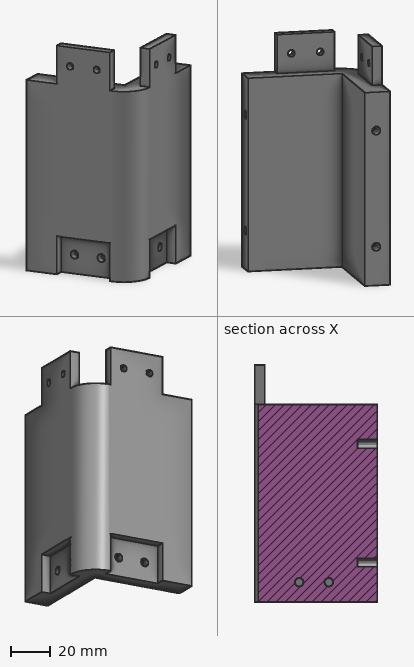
import cadquery as cq

total_height = 120
tab_height = 20.0
body_height = total_height - tab_height
arm_length = 62.0
wall = 13.1
corner_radius = 14.0

tab_width = 30
tab_thickness = 5.2
tab_start = 17.0
tab_hole_spacing = 15.0
tab_hole_diameter = 3.5

blind_hole_diameter = 4.2
wall_behind_pocket_hole = 3.0
pocket_hole_depth = wall - tab_thickness - wall_behind_pocket_hole
end_hole_depth = 10.0
end_hole_inset = 7.2
end_hole_heights = (20.0, 80.0)

tab_center = tab_start + tab_width / 2
hole_positions = (tab_center - tab_hole_spacing / 2, tab_center + tab_hole_spacing / 2)


def mirror_arm(shape):
    """Copy a feature of the X arm to the Y arm, across the corner's diagonal plane."""
    corner = (arm_length, 0, 0)
    flipped = shape.mirror("XZ", corner)
    return flipped.rotate(corner, (arm_length, 0, 1), -90)


def hole_along_y(x, z, diameter, start, depth):
    """Cylinder running toward +Y from the plane y = start."""
    return cq.Workplane("XZ", origin=(x, start, z)).circle(diameter / 2).extrude(-depth)


def make_body():
    """L-shaped wall with a rounded outer corner."""
    body = (
        cq.Workplane("XY")
        .polyline([
            (0, 0),
            (arm_length, 0),
            (arm_length, arm_length),
            (arm_length - wall, arm_length),
            (arm_length - wall, wall),
            (0, wall),
        ])
        .close()
        .extrude(body_height)
    )
    outer_corner = cq.selectors.NearestToPointSelector((arm_length, 0, body_height / 2))
    return body.edges(outer_corner).fillet(corner_radius)


def tab_block(bottom):
    """Plate-shaped block flush with the outer face of the X arm."""
    return cq.Workplane("XY").box(tab_width, tab_thickness, tab_height, centered=False).translate(
        (tab_start, 0, bottom)
    )


def make_tab():
    """Upright tab with two through holes."""
    tab = tab_block(body_height)
    hole_height = body_height + tab_height / 2
    for x in hole_positions:
        tab = tab.cut(hole_along_y(x, hole_height, tab_hole_diameter, 0, tab_thickness))
    return tab


def make_pocket():
    """Recess for the tab of the part below, with two blind holes in its floor."""
    pocket = tab_block(0)
    for x in hole_positions:
        pocket = pocket.union(
            hole_along_y(x, tab_height / 2, blind_hole_diameter, 0, tab_thickness + pocket_hole_depth)
        )
    return pocket


def make_end_hole(height):
    """Blind hole running along the X arm from its free end face."""
    return (
        cq.Workplane("YZ", origin=(0, end_hole_inset, height))
        .circle(blind_hole_diameter / 2)
        .extrude(end_hole_depth)
    )


result = make_body()

tab = make_tab()
result = result.union(tab).union(mirror_arm(tab))

cutters = [make_pocket()] + [make_end_hole(height) for height in end_hole_heights]
for cutter in cutters:
    result = result.cut(cutter).cut(mirror_arm(cutter))